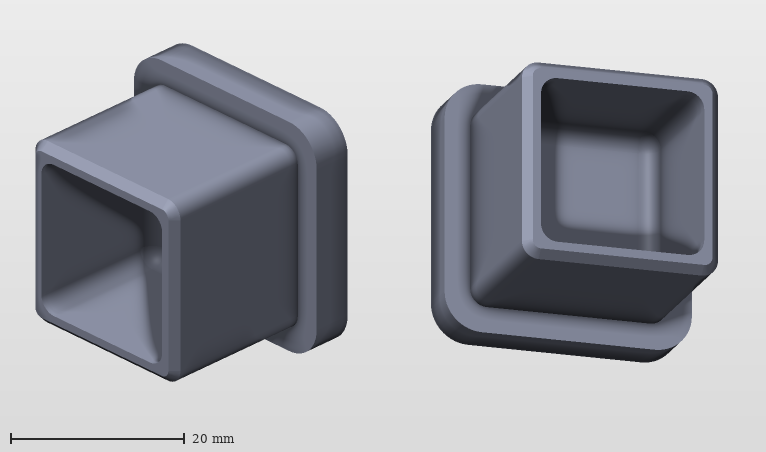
import cadquery as cq

flange_side = 30.0
flange_thickness = 5.0
flange_corner_radius = 4.5

total_depth = 25.0
plug_side = 23.8
plug_corner_radius = 2.0
tip_chamfer = 1.0

floor_thickness = 7.0
cavity_radius = 2.0
cavity_side = 19.8

plug_length = total_depth - flange_thickness
cavity_depth = total_depth - floor_thickness


def square_bar(side, start, length, corner_radius):
    """Square bar centred on Y, from Y = start towards +Y, with rounded long edges."""
    return (
        cq.Workplane("XZ", origin=(0, start, 0))
        .rect(side, side)
        .extrude(-length)
        .edges("|Y")
        .fillet(corner_radius)
    )


flange = square_bar(flange_side, plug_length, flange_thickness, flange_corner_radius)

plug = square_bar(plug_side, 0, plug_length, plug_corner_radius)
plug = plug.faces("<Y").chamfer(tip_chamfer)

cavity = square_bar(cavity_side, 0, cavity_depth, cavity_radius)
cavity = cavity.faces(">Y").edges().fillet(cavity_radius)

result = flange.union(plug).cut(cavity)